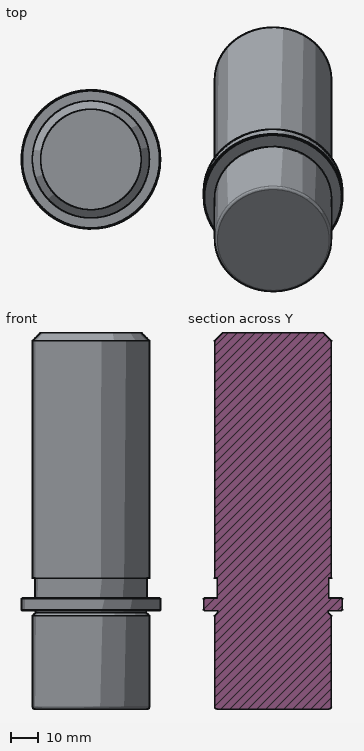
import cadquery as cq

total_height = 135.0
shaft_diameter = 42.0
flange_diameter = 50.0
neck_diameter = 40.2

seat_top = 34.5
flange_bottom = 35.2
flange_top = 40.0
neck_top = 47.0

tip_chamfer = 3.0
seat_top_chamfer = 1.1
bottom_fillet = 1.0
flange_chamfer = 0.4

undercut_diameter = shaft_diameter - 2 * seat_top_chamfer


def cylinder(diameter, bottom, top):
    """Cylinder on the Z axis between two heights."""
    return cq.Workplane("XY").workplane(offset=bottom).circle(diameter / 2).extrude(top - bottom)


seat = cylinder(shaft_diameter, 0, seat_top)
seat = seat.faces("<Z").edges().fillet(bottom_fillet)
seat = seat.faces(">Z").edges().chamfer(seat_top_chamfer)

undercut = cylinder(undercut_diameter, seat_top, flange_bottom)

flange = cylinder(flange_diameter, flange_bottom, flange_top)
flange = flange.faces("<Z or >Z").edges().chamfer(flange_chamfer)

neck = cylinder(neck_diameter, flange_top, neck_top)

shaft = cylinder(shaft_diameter, neck_top, total_height)
shaft = shaft.faces(">Z").edges().chamfer(tip_chamfer)

result = seat.union(undercut).union(flange).union(neck).union(shaft)